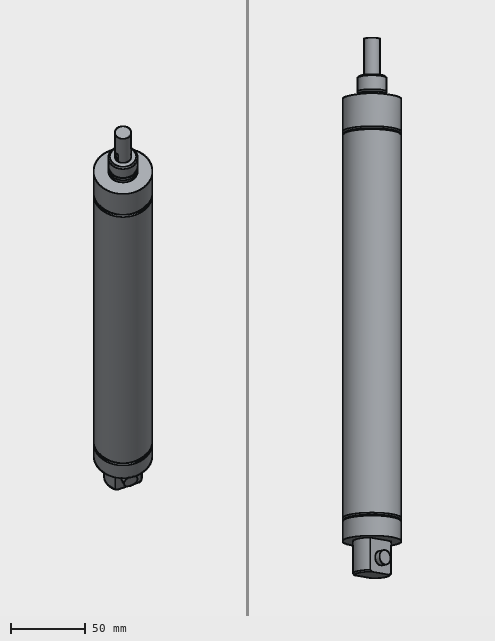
import cadquery as cq
import math

total_height = 368.5
barrel_bottom = 23.2
barrel_top = 327.3
nose_top = 342.8

barrel_radius = 20.0
crimp_width = 2.2
crimp_depth = 1.0
lower_crimp_z = 38.0
upper_crimp_z = 303.7

nose_radius = 10.0
nose_chamfer = 1.0
nose_groove_width = 2.5
nose_groove_depth = 0.7
nose_groove_z = 331.0

tang_radius = 13.0
tang_thickness = 17.5
tang_chamfer = 1.0
pin_diameter = 10.0
pin_length = 26.0
pin_z = 10.5

rod_radius = 5.5
rod_bottom = upper_crimp_z
flat_width = 5.5
flat_height = 5.5
flat_bottom = 344.2


def cylinder(radius, bottom, top):
    """Cylinder on the Z axis between two heights."""
    return cq.Workplane("XY").workplane(offset=bottom).circle(radius).extrude(top - bottom)


def groove_ring(outer_radius, depth, width, centre_z):
    """Ring that cuts a V groove around a cylinder on the Z axis."""
    return (
        cq.Workplane("XZ")
        .moveTo(outer_radius, centre_z - width / 2)
        .lineTo(outer_radius, centre_z + width / 2)
        .lineTo(outer_radius - depth, centre_z)
        .close()
        .revolve(360, (0, 0, 0), (0, 1, 0))
    )


def pivot_cylinder():
    """Cylinder of the pivot pin, lying along X."""
    return (
        cq.Workplane("YZ")
        .workplane(offset=-pin_length / 2)
        .center(0, pin_z)
        .circle(pin_diameter / 2)
        .extrude(pin_length)
    )


def make_tang():
    """Round stub with a chamfered end and a flat on each X side."""
    stub = cylinder(tang_radius, 0, barrel_bottom).faces("<Z").chamfer(tang_chamfer)
    slab = cq.Workplane("XY").box(
        tang_thickness, 2 * tang_radius, barrel_bottom, centered=(True, True, False)
    )
    return stub.intersect(slab)


def make_housing():
    """Barrel with its nose and tang, bored for the rod and the pivot pin."""
    barrel = cylinder(barrel_radius, barrel_bottom, barrel_top)
    for crimp_z in (lower_crimp_z, upper_crimp_z):
        barrel = barrel.cut(groove_ring(barrel_radius, crimp_depth, crimp_width, crimp_z))
    nose = cylinder(nose_radius, barrel_top, nose_top).faces(">Z").chamfer(nose_chamfer)
    nose = nose.cut(groove_ring(nose_radius, nose_groove_depth, nose_groove_width, nose_groove_z))
    body = barrel.union(nose).union(make_tang())
    rod_bore = cylinder(rod_radius, rod_bottom, nose_top)
    return body.cut(rod_bore).cut(pivot_cylinder())


def make_rod():
    """Piston rod with one wrench flat on its -Y side."""
    rod = cylinder(rod_radius, rod_bottom, total_height)
    flat_distance = math.sqrt(rod_radius**2 - (flat_width / 2) ** 2)
    flat_cutter = (
        cq.Workplane("XY")
        .box(2 * rod_radius, rod_radius, flat_height, centered=(True, False, False))
        .translate((0, -flat_distance - rod_radius, flat_bottom))
    )
    return rod.cut(flat_cutter)


housing = make_housing()
rod = make_rod()
pivot_pin = pivot_cylinder()

result = cq.Compound.makeCompound([housing.val(), rod.val(), pivot_pin.val()])